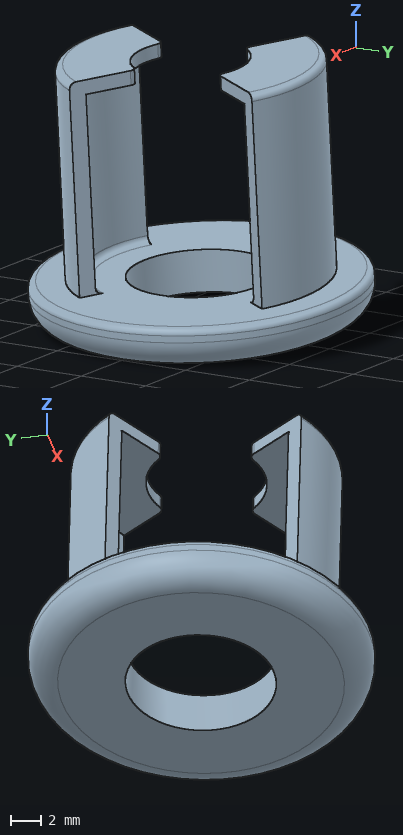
import cadquery as cq
import math

flange_diameter = 23.0
flange_thickness = 3.0
flange_top_round = 0.5
flange_bottom_round = 2.0
bore_diameter = 10.0
sleeve_diameter = 18.0
sleeve_height = 15.0
wall_thickness = 1.2
cap_thickness = 1.01
cap_opening_diameter = 8.0
cap_edge_round = 0.5
cap_corner_round = 0.5
root_fillet = 0.5
jaw_angle = 90.0
jaw_direction = 103.7
tilt = 5.0

sleeve_radius = sleeve_diameter / 2
cavity_radius = sleeve_radius - wall_thickness
cap_top = flange_thickness + sleeve_height


def make_flange():
    """Disc with a soft top edge and a fully rounded lower edge."""
    disc = cq.Workplane("XY").circle(flange_diameter / 2).extrude(flange_thickness)
    disc = disc.faces(">Z").edges().fillet(flange_top_round)
    return disc.faces("<Z").edges().fillet(flange_bottom_round)


def make_cup():
    """Full round sleeve with a holed cap and a filleted cavity floor."""
    cup = cq.Workplane("XY").circle(sleeve_radius).extrude(cap_top)
    cup = cup.faces(">Z").edges().fillet(cap_edge_round)
    cavity = (
        cq.Workplane("XY")
        .workplane(offset=flange_thickness)
        .circle(cavity_radius)
        .extrude(sleeve_height - cap_thickness)
        .faces("<Z").edges().fillet(root_fillet)
    )
    opening = cq.Workplane("XY").circle(cap_opening_diameter / 2).extrude(cap_top)
    return cup.cut(cavity).cut(opening)


def make_sector(direction):
    """Wedge that keeps one jaw of the cup, starting at the flange top."""
    reach = flange_diameter
    ends = []
    for side in (-1, 1):
        angle = math.radians(direction + side * jaw_angle / 2)
        ends.append((reach * math.cos(angle), reach * math.sin(angle)))
    return (
        cq.Workplane("XY")
        .workplane(offset=flange_thickness)
        .polyline([(0, 0)] + ends)
        .close()
        .extrude(sleeve_height)
    )


def make_jaw(direction):
    """One wall segment with its inward cap, inner cap corners rounded."""
    jaw = make_cup().intersect(make_sector(direction))
    corner_zone = cq.selectors.BoxSelector(
        (-cap_opening_diameter / 2, -cap_opening_diameter / 2, cap_top - cap_thickness),
        (cap_opening_diameter / 2, cap_opening_diameter / 2, cap_top),
    )
    return jaw.edges("|Z").edges(corner_zone).fillet(cap_corner_round)


body = make_flange()
for direction in (jaw_direction, jaw_direction + 180):
    body = body.union(make_jaw(direction))

bore = cq.Workplane("XY").circle(bore_diameter / 2).extrude(flange_thickness)
body = body.cut(bore)

result = body.rotate((0, 0, 0), (0, 1, 0), tilt)